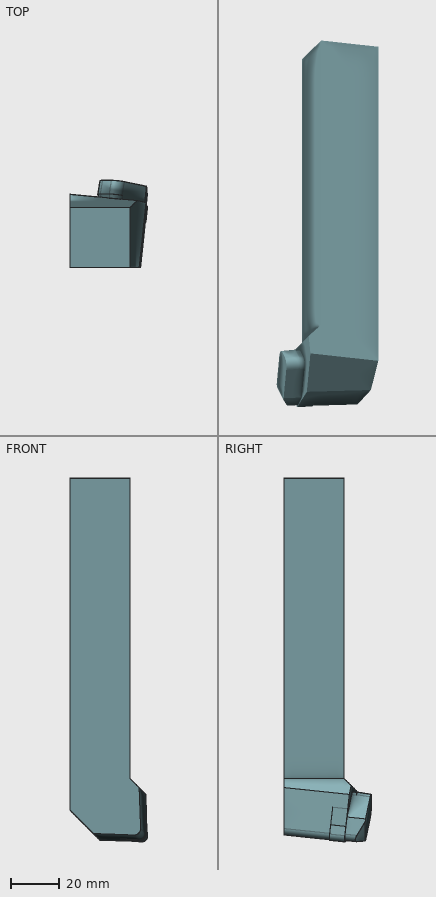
import cadquery as cq
import math



shank_size = 25.0
shank_length = 124.75

overall_length = 151.0
tip_reach = 32.2
tip_height = 24.9
tilt = math.radians(6.0)
head_half_angle = math.radians(43.2)
head_corner_radius = 2.6
head_setback = 0.55
head_reach_back = 60.0
head_depth = 40.0
max_head_size = 60.0

insert_inscribed_diameter = 15.875
insert_half_angle = math.radians(40.0)
insert_thickness = 6.35
insert_corner_radius = 2.4

clamp_half_width = 6.4
clamp_back = 26.0
clamp_corner_radius = 3.8
clamp_thickness = 5.85
clamp_nose_setback = 0.75
clamp_nose_half_angle = math.radians(39.0)
clamp_nose_radius = 2.4
clamp_nose_bevel_height = 4.2
clamp_nose_bevel_length = 7.0
clamp_back_draft = math.radians(4.5)
riser_height = 1.9
riser_back_setback = 0.3

corner_overhang = insert_corner_radius * (1 / (math.sin(insert_half_angle) * math.sqrt(2)) - 1)
tip = cq.Vector(
    tip_reach + corner_overhang,
    tip_height,
    -overall_length - corner_overhang,
)

head_half_width = (shank_size - shank_length - tip.x - tip.z) / math.sqrt(2)

slope = math.tan(tilt)
face_normal = cq.Vector(slope, 1, -slope)
back_direction = cq.Vector(-1, 2 * slope, 1)
head_face = cq.Plane(origin=tip, xDir=back_direction, normal=face_normal)
clamp_side = cq.Plane(origin=tip, xDir=back_direction, normal=head_face.yDir * -1)


def pointed_outline(face, nose, half_angle, half_width, back):
    """Closed outline, symmetric about local x, with a pointed nose and parallel sides."""
    shoulder = nose + half_width / math.tan(half_angle)
    return face.polyline(
        [
            (nose, 0),
            (shoulder, half_width),
            (back, half_width),
            (back, -half_width),
            (shoulder, -half_width),
        ]
    ).close()


def round_upright_edge(block, x, y, height, radius):
    """Fillet the edge of a block that stands nearest to a point of the tilted frame."""
    point = head_face.toWorldCoords((x, y, height)).toTuple()
    return block.edges(cq.selectors.NearestToPointSelector(point)).fillet(radius)


def make_insert():
    half_length = insert_inscribed_diameter / 2 / math.sin(insert_half_angle)
    half_width = insert_inscribed_diameter / 2 / math.cos(insert_half_angle)
    rhombus = cq.Workplane(head_face).polyline(
        [(0, 0), (half_length, half_width), (2 * half_length, 0), (half_length, -half_width)]
    )
    blank = rhombus.close().extrude(-insert_thickness)
    corner_edges = cq.selectors.ParallelDirSelector(face_normal)
    return blank.edges(corner_edges).fillet(insert_corner_radius)


def make_shank():
    bar = cq.Workplane("XY").rect(shank_size, shank_size).extrude(-shank_length)
    return bar.translate((shank_size / 2, shank_size / 2, 0))


def make_head():
    prism = pointed_outline(
        cq.Workplane(head_face), head_setback, head_half_angle, head_half_width, head_reach_back
    ).extrude(-head_depth)
    prism = round_upright_edge(prism, head_setback, 0, -head_depth / 2, head_corner_radius)
    bottom = -shank_length - max_head_size
    profile = (
        cq.Workplane("YZ")
        .moveTo(0, bottom)
        .lineTo(0, shank_size - shank_length)
        .lineTo(shank_size - bottom - shank_length, bottom)
        .close()
        .extrude(max_head_size)
    )
    return prism.intersect(profile)


def round_corners(block, back, height):
    for side in (-1, 1):
        block = round_upright_edge(block, back, side * clamp_half_width, height, clamp_corner_radius)
    return round_upright_edge(block, clamp_nose_setback, 0, height, clamp_nose_radius)


def clamp_outline(base_height, back):
    return pointed_outline(
        cq.Workplane(head_face).workplane(offset=base_height),
        clamp_nose_setback,
        clamp_nose_half_angle,
        clamp_half_width,
        back,
    )


def clamp_wedge(corners):
    """Bar across the clamp with a triangular section, corners given as (local x, height)."""
    return cq.Workplane(clamp_side).polyline(corners).close().extrude(clamp_half_width, both=True)


def make_riser():
    back = clamp_back - riser_back_setback
    return round_corners(clamp_outline(0, back).extrude(riser_height), back, riser_height / 2)


def make_clamp():
    top = riser_height + clamp_thickness
    lean = clamp_thickness * math.tan(clamp_back_draft)
    back_wedge = clamp_wedge([(clamp_back, riser_height), (clamp_back - lean, top), (clamp_back, top)])
    clamp = clamp_outline(riser_height, clamp_back).extrude(clamp_thickness).cut(back_wedge)
    clamp = round_corners(clamp, clamp_back - lean / 2, riser_height + clamp_thickness / 2)
    nose_wedge = clamp_wedge(
        [
            (clamp_nose_setback, top - clamp_nose_bevel_height),
            (clamp_nose_setback + clamp_nose_bevel_length, top),
            (clamp_nose_setback, top),
        ]
    )
    return clamp.cut(nose_wedge)


insert = make_insert()
holder = make_shank().union(make_head()).cut(insert).union(make_riser()).union(make_clamp())

result = cq.Compound.makeCompound([holder.val(), insert.val()])